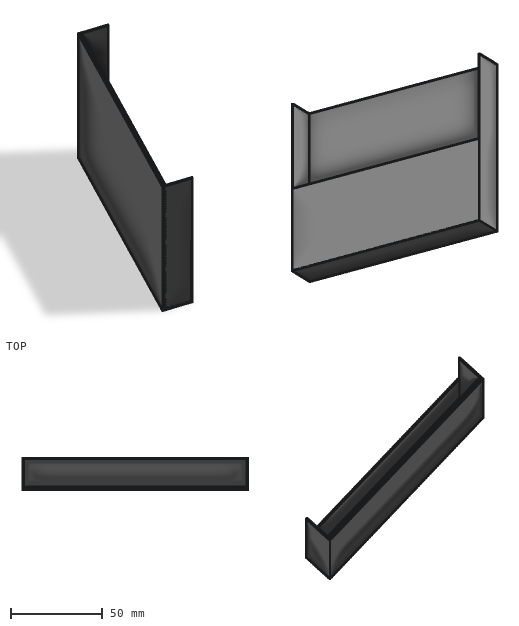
import cadquery as cq

width = 122.5
depth = 17.5
height = 99.1

wall = 0.7

slot_gap = 0.67
inner_panel = 0.59

back_height = 49.0

inner_width = width - 2 * wall


def block(size_x, size_y, size_z, start_y=0, start_z=0):
    """Box centred in X that starts at the given Y and Z."""
    box = cq.Workplane("XY").box(size_x, size_y, size_z, centered=(True, False, False))
    return box.translate((0, start_y, start_z))


body = block(width, depth, height)

slot = block(inner_width, slot_gap, height - wall, wall, wall)

pocket_start = wall + slot_gap + inner_panel
pocket = block(inner_width, depth - wall - pocket_start, height - wall, pocket_start, wall)

back_opening = block(inner_width, wall, height - back_height, depth - wall, back_height)

result = body.cut(slot).cut(pocket).cut(back_opening)